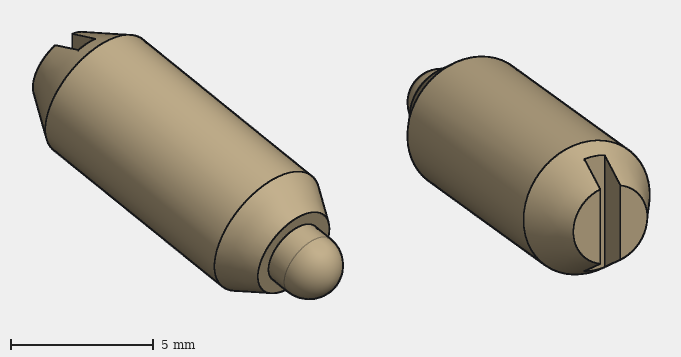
import cadquery as cq
import math

total_length = 14.0
body_length = 12.0
body_diameter = 5.0
pin_diameter = 2.4

taper_angle = 30.0
slotted_taper_length = 1.79
pin_taper_length = 1.39

slot_width = 0.8
slot_depth = 1.2

body_radius = body_diameter / 2
pin_radius = pin_diameter / 2


def end_radius(taper_length):
    """Radius of the flat end face left by a taper of the given length."""
    return body_radius - taper_length * math.tan(math.radians(taper_angle))


def revolve_about_x(profile):
    return profile.close().revolve(360, (0, 0, 0), (1, 0, 0))


def make_body():
    """Cylinder with a taper at each end and a slot in the rear face."""
    profile = (
        cq.Workplane("XY")
        .lineTo(0, end_radius(slotted_taper_length))
        .lineTo(slotted_taper_length, body_radius)
        .lineTo(body_length - pin_taper_length, body_radius)
        .lineTo(body_length, end_radius(pin_taper_length))
        .lineTo(body_length, 0)
    )
    slot = cq.Workplane("XY").box(
        slot_depth, slot_width, body_diameter, centered=(False, True, True)
    )
    return revolve_about_x(profile).cut(slot)


def make_pin():
    """Round-nosed pin standing on the front face of the body."""
    nose_start = total_length - pin_radius
    arc_offset = pin_radius * math.sqrt(0.5)
    profile = (
        cq.Workplane("XY")
        .moveTo(body_length, 0)
        .lineTo(body_length, pin_radius)
        .lineTo(nose_start, pin_radius)
        .threePointArc((nose_start + arc_offset, arc_offset), (total_length, 0))
    )
    return revolve_about_x(profile)


body = make_body()
pin = make_pin()

result = cq.Compound.makeCompound([body.val(), pin.val()])